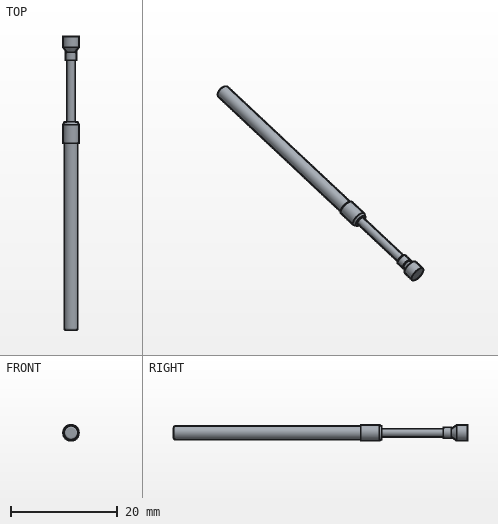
import cadquery as cq


total_length = 55.0
head_length = 2.0
cone_length = 1.0
collar_length = 1.5
tip_to_sleeve = 16.0
sleeve_length = 4.0
sleeve_lead_in = 0.5
barrel_end_radius = 0.4

head_diameter = 3.0
cone_end_diameter = 1.6
collar_diameter = 2.1
plunger_diameter = 1.6
sleeve_diameter = 3.0
sleeve_front_diameter = 2.5
barrel_diameter = 2.6

barrel_end_y = 0.0
tip_y = barrel_end_y + total_length
head_base_y = tip_y - head_length
collar_front_y = head_base_y - cone_length
collar_back_y = collar_front_y - collar_length
sleeve_front_y = tip_y - tip_to_sleeve
sleeve_back_y = sleeve_front_y - sleeve_length


def cylinder(diameter, start_y, end_y):
    """Solid cylinder on the Y axis between two stations."""
    return (
        cq.Workplane("XZ", origin=(0, start_y, 0))
        .circle(diameter / 2)
        .extrude(start_y - end_y)
    )


def frustum(start_diameter, start_y, end_diameter, end_y):
    """Solid truncated cone on the Y axis between two stations."""
    half_section = [
        (0, start_y),
        (start_diameter / 2, start_y),
        (end_diameter / 2, end_y),
        (0, end_y),
    ]
    return cq.Workplane("XY").polyline(half_section).close().revolve(360, (0, 0), (0, 1))


def contact_head():
    """Flat-faced head, the cone behind it and the collar on the plunger."""
    head = cylinder(head_diameter, head_base_y, tip_y)
    cone = frustum(cone_end_diameter, collar_front_y, head_diameter, head_base_y)
    collar = cylinder(collar_diameter, collar_back_y, collar_front_y)
    return head.union(cone).union(collar)


def plunger():
    """Thin rod joining the sleeve to the collar."""
    return cylinder(plunger_diameter, sleeve_front_y, collar_back_y)


def sleeve():
    """Press-fit ring with a tapered lead-in at its front."""
    taper_start_y = sleeve_front_y - sleeve_lead_in
    ring = cylinder(sleeve_diameter, sleeve_back_y, taper_start_y)
    lead_in = frustum(sleeve_diameter, taper_start_y, sleeve_front_diameter, sleeve_front_y)
    return ring.union(lead_in)


def barrel():
    """Long tube body with a rounded closed end."""
    body = cylinder(barrel_diameter, barrel_end_y, sleeve_back_y)
    return body.faces("<Y").edges().fillet(barrel_end_radius)


result = barrel().union(sleeve()).union(plunger()).union(contact_head())